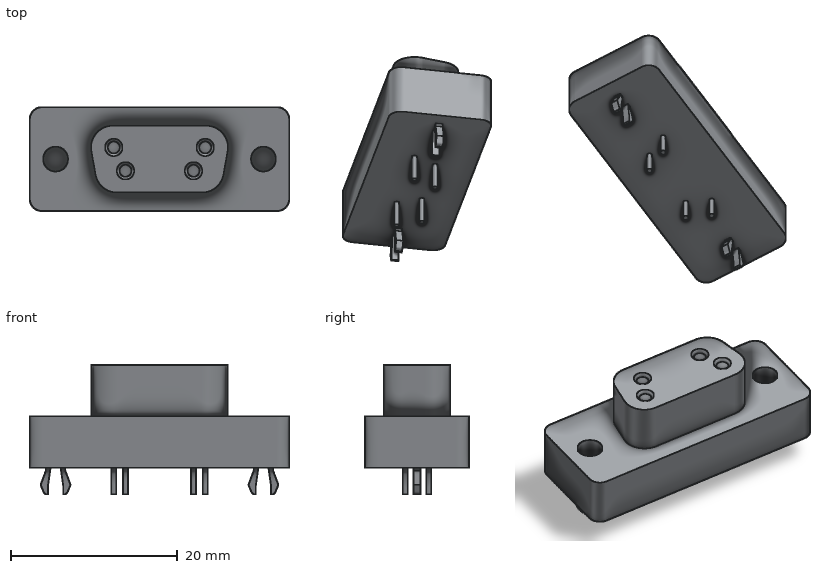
import cadquery as cq
import math

base_length = 31.2
base_width = 12.5
base_height = 6.2
base_corner_radius = 1.5

shell_width = 16.45
shell_depth = 8.02
shell_height = 6.15
shell_corner_radius = 2.6
shell_flank_angle = 10.0

wide_row_x = 5.5
narrow_row_x = 4.1
row_y = 1.4
socket_mouth_diameter = 2.1
socket_floor_diameter = 1.45
socket_depth = 0.4
pin_diameter = 0.62
tail_length = 3.18

mount_x = 12.48
mount_hole_diameter = 3.0
mount_hole_depth = base_height / 2

clip_thickness = 0.85
leg_root_inner = 0.6
leg_root_outer = 1.2
leg_tip_inner = 0.9
leg_inner_slope_drop = 2.18
leg_neck_drop = 0.37
barb_offset = 1.8
barb_drop = 2.05
tip_round_offset = 1.5
tip_round_drop = 2.8

shell_top = base_height + shell_height
contact_points = [
    (side * row_x, y)
    for row_x, y in ((wide_row_x, row_y), (narrow_row_x, -row_y))
    for side in (-1, 1)
]


def make_base():
    block = cq.Workplane("XY").box(base_length, base_width, base_height, centered=(True, True, False))
    block = block.edges("|Z").fillet(base_corner_radius)
    mount_points = [(-mount_x, 0), (mount_x, 0)]
    return (
        block.faces(">Z").workplane()
        .pushPoints(mount_points).hole(mount_hole_diameter, mount_hole_depth)
    )


def make_shell():
    angle = math.radians(shell_flank_angle)
    back_y = shell_depth / 2
    front_y = -back_y
    arc_center_x = shell_width / 2 - shell_corner_radius
    arc_center_y = back_y - shell_corner_radius

    def flank_x(y):
        reach = shell_corner_radius / math.cos(angle)
        return arc_center_x + reach + (y - arc_center_y) * math.tan(angle)

    back_x = flank_x(back_y)
    front_x = flank_x(front_y)
    outline = [(-front_x, front_y), (front_x, front_y), (back_x, back_y), (-back_x, back_y)]
    body = cq.Workplane("XY").workplane(offset=base_height).polyline(outline).close().extrude(shell_height)
    return body.edges("|Z").fillet(shell_corner_radius)


def make_socket(x, y):
    """Conical lead-in with a flat floor."""
    cone = cq.Solid.makeCone(
        socket_floor_diameter / 2, socket_mouth_diameter / 2, socket_depth,
        pnt=cq.Vector(x, y, shell_top - socket_depth),
    )
    return cq.Workplane("XY").add(cone)


def make_pins():
    return (
        cq.Workplane("XY").pushPoints(contact_points)
        .circle(pin_diameter / 2).extrude(-tail_length)
    )


def make_clip_leg(axis_x, side):
    """One leg of a board clip; side is -1 or 1 and sets the way the barb points."""
    def point(offset, drop):
        return (axis_x + side * offset, -drop)

    return (
        cq.Workplane("XZ")
        .moveTo(*point(leg_root_inner, 0))
        .lineTo(*point(leg_root_outer, 0))
        .lineTo(*point(leg_root_outer, leg_neck_drop))
        .lineTo(*point(barb_offset, barb_drop))
        .lineTo(*point(tip_round_offset, tip_round_drop))
        .tangentArcPoint(point(leg_root_outer, tail_length), relative=False)
        .lineTo(*point(leg_tip_inner, tail_length))
        .lineTo(*point(leg_tip_inner, leg_inner_slope_drop))
        .close().extrude(clip_thickness / 2, both=True)
    )


result = make_base().union(make_shell()).union(make_pins())
for contact_x, contact_y in contact_points:
    result = result.cut(make_socket(contact_x, contact_y))
for clip_x in (-mount_x, mount_x):
    for leg_side in (-1, 1):
        result = result.union(make_clip_leg(clip_x, leg_side))